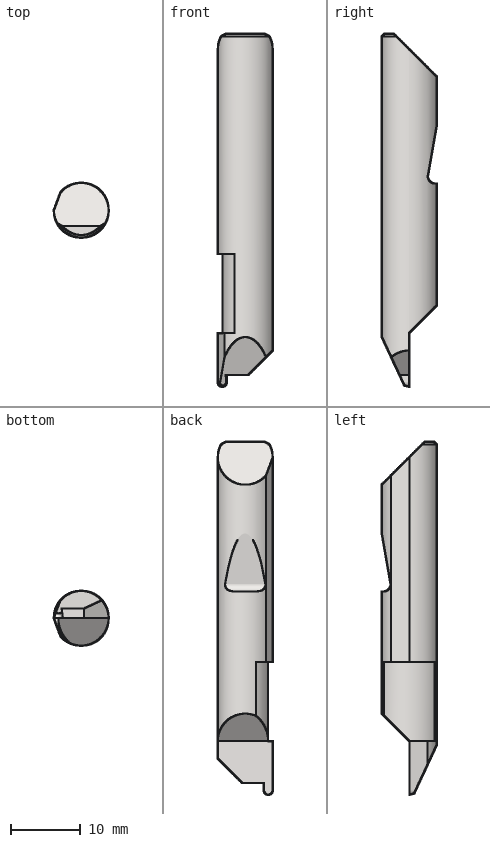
import cadquery as cq
import math

length = 50.8
radius = 3.95
bottom_chamfer_start = 0.4
floor_z = 1.7
head_top_z = 7.7
neck_top_z = 19.1
margin = 5.1
reach = radius + margin

finger_width = 1.3
finger_right_relief_angle = 7.0
finger_cut_depth = 2.05

flat_end_y = 2.6
flat_end_x = -math.sqrt(radius**2 - flat_end_y**2)

front_slope_top = 7.15
front_slope_angle = 25.0

neck_depth = 0.65
neck_end_x = -1.6
neck_end_y = math.sqrt(radius**2 - neck_end_x**2)

notch_top_z = 37.55
notch_bottom_z = 29.25
notch_floor_y = 2.7
notch_radius = 1.0
top_slope_edge_y = -2.25
top_chamfer = 0.4


def prism_along_x(outline):
    """Extrude a closed (Y, Z) outline right across the shank."""
    return cq.Workplane("YZ").polyline(outline).close().extrude(reach, both=True)


def prism_along_z(outline, bottom, top):
    """Extrude a closed (X, Y) outline between two heights."""
    return cq.Workplane("XY", origin=(0, 0, bottom)).polyline(outline).close().extrude(top - bottom)


def make_shank():
    shank = cq.Workplane("XY").circle(radius).extrude(length)
    return shank.faces(">Z").edges().chamfer(top_chamfer)


def make_side_flat(side, bottom, top):
    """Wedge outside the left flat; side is +1 for +Y and -1 for -Y."""
    outline = [
        (-radius, 0),
        (flat_end_x, side * flat_end_y),
        (-reach, side * flat_end_y),
        (-reach, 0),
    ]
    return prism_along_z(outline, bottom, top)


def make_neck_cut():
    return (
        cq.Workplane("XY", origin=(0, 0, head_top_z))
        .moveTo(neck_end_x, neck_end_y)
        .threePointArc((-radius + neck_depth, 0), (neck_end_x, -neck_end_y))
        .lineTo(neck_end_x, -reach)
        .lineTo(-reach, -reach)
        .lineTo(-reach, reach)
        .lineTo(neck_end_x, reach)
        .close()
        .extrude(neck_top_z - head_top_z)
    )


def make_back_cut():
    """Space behind the half-round head, with a 45 degree run-out."""
    return prism_along_x([
        (0, -margin),
        (0, head_top_z),
        (reach, head_top_z + reach),
        (reach, -margin),
    ])


def make_front_cut():
    slope = math.tan(math.radians(front_slope_angle))
    bottom_y = -radius + (front_slope_top + margin) * slope
    top_z = front_slope_top + margin / slope
    return prism_along_x([(bottom_y, -margin), (-reach, top_z), (-reach, -margin)])


def make_underside_cut():
    """Space right of the finger and below the head, including the lower corner."""
    finger_right = -radius + finger_width
    outline = [
        (finger_right, -margin),
        (finger_right, floor_z),
        (bottom_chamfer_start, floor_z),
        (reach, floor_z + reach - bottom_chamfer_start),
        (reach, -margin),
    ]
    return cq.Workplane("XZ").polyline(outline).close().extrude(reach, both=True)


def make_finger_profile(depth):
    """Closed outline of the finger at a depth in front of the cutting face; it narrows with depth."""
    left_relief = (flat_end_x + radius) / flat_end_y
    right_relief = math.tan(math.radians(finger_right_relief_angle))
    left = -radius + depth * left_relief
    right = -radius + finger_width - depth * right_relief
    half_width = (right - left) / 2
    tangent_z = finger_width / 2
    left_tangent = cq.Vector(left, -depth, tangent_z)
    lowest = cq.Vector(left + half_width, -depth, tangent_z - half_width)
    right_tangent = cq.Vector(right, -depth, tangent_z)
    right_top = cq.Vector(right, -depth, floor_z)
    left_top = cq.Vector(left, -depth, floor_z)
    return cq.Wire.assembleEdges([
        cq.Edge.makeThreePointArc(left_tangent, lowest, right_tangent),
        cq.Edge.makeLine(right_tangent, right_top),
        cq.Edge.makeLine(right_top, left_top),
        cq.Edge.makeLine(left_top, left_tangent),
    ])


def make_finger_cut():
    """Space around the round-tipped finger, relieved on its left, right and tip."""
    profiles = [make_finger_profile(0), make_finger_profile(finger_cut_depth)]
    finger = cq.Solid.makeLoft(profiles, True)
    block = cq.Workplane("XY").box(
        finger_width, finger_cut_depth, floor_z, centered=False
    ).translate((-radius, -finger_cut_depth, 0))
    return block.cut(cq.Workplane(finger))


def make_notch():
    corner = notch_radius * (1 - math.sqrt(0.5))
    ramp_end_z = notch_bottom_z + notch_radius
    return (
        cq.Workplane("YZ")
        .moveTo(radius, notch_top_z)
        .lineTo(notch_floor_y, ramp_end_z)
        .threePointArc(
            (notch_floor_y + corner, notch_bottom_z + corner),
            (notch_floor_y + notch_radius, notch_bottom_z),
        )
        .lineTo(reach, notch_bottom_z)
        .lineTo(reach, notch_top_z)
        .close()
        .extrude(reach, both=True)
    )


def make_top_cut():
    return prism_along_x([
        (top_slope_edge_y - margin, length + margin),
        (reach, length + top_slope_edge_y - reach),
        (reach, length + margin),
    ])


result = (
    make_shank()
    .cut(make_side_flat(1, neck_top_z, length))
    .cut(make_side_flat(-1, -margin, head_top_z))
    .cut(make_neck_cut())
    .cut(make_back_cut())
    .cut(make_front_cut())
    .cut(make_underside_cut())
    .cut(make_finger_cut())
    .cut(make_notch())
    .cut(make_top_cut())
)